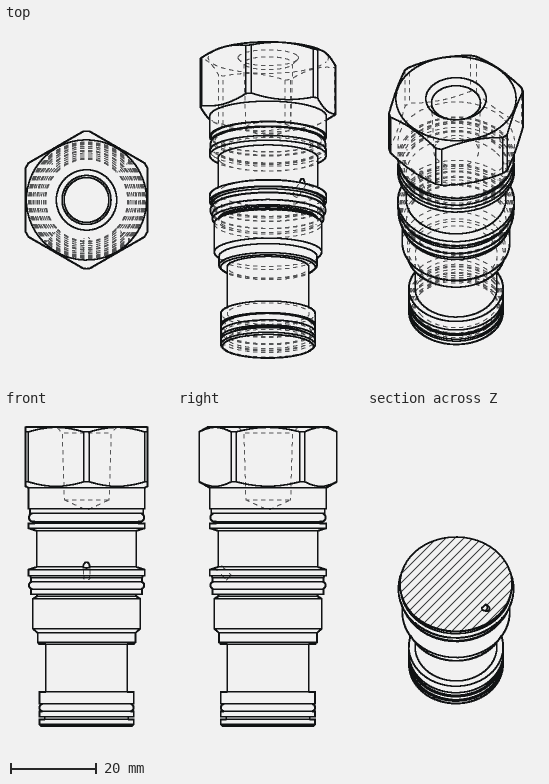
import cadquery as cq
import math

TOTAL_HEIGHT = 69.95
HEX_BOTTOM = 55.7
SPLIT_LEVEL = 19.2

HEX_SIDES = 6
HEX_FLATS = 28.55
HEX_CORNER_RADIUS = 16.1
HEX_TOP_RADIUS = 14.05
CHAMFER_ANGLE = 30.0

PORT_MOUTH_RADIUS = 7.05
PORT_RADIUS = 5.75
PORT_COUNTERSINK_ANGLE = 45.0
PORT_TAPER = 1 / 16
PORT_END_RADIUS = 5.25
PORT_POINT_ANGLE = 130.0

COLLAR_RADIUS = 13.65
NECK_RADIUS = 11.7
NECK_TOP = 45.6
NECK_BOTTOM = 37.2
NECK_TAPER_HEIGHT = 0.6
SHOULDER_BOTTOM = 50.8
THIN_COLLAR_TOP = 47.35
LOWER_COLLAR_BOTTOM = 35.1

UPPER_BACKUP_RADIUS = 13.3
UPPER_GROOVE_RADIUS = 12.2
UPPER_SEAL_TOP = 49.7
UPPER_SEAL_BOTTOM = 47.8
SEAL_OUTER_RADIUS = 13.5
LOWER_BACKUP_RADIUS = 13.0
BACKUP_TAPER_RADIUS = 13.2
BACKUP_TAPER_BOTTOM = 34.6
LOWER_SEAL_TOP = 33.8
LOWER_SEAL_BOTTOM = 32.05
LOWER_BACKUP_BOTTOM = 30.8

NOSE_GROOVE_RADIUS = 11.6
NOSE_RADIUS = 12.6
NOSE_TAPER_TOP = 30.35
NOSE_TOP = 29.7
NOSE_BOTTOM = 22.8
NOSE_END_RADIUS = 11.5
NOSE_END_TOP = 21.75
NOSE_END_CHAMFER = 0.4

SLANT_HOLE_RADIUS = 0.8
SLANT_HOLE_DEPTH = 3.5
SLANT_HOLE_ANGLE = 45.0

STEM_RADIUS = 9.6
FOOT_RADIUS = 11.05
FOOT_TOP = 8.0
FOOT_SEAL_TOP = 5.2
FOOT_SEAL_BOTTOM = 3.4
FOOT_GROOVE_RADIUS = 9.8
FOOT_GROOVE_TOP = 2.2
FOOT_GROOVE_BOTTOM = 1.55
FOOT_CHAMFER = 0.4


def add_seal(profile, outer_radius, top, bottom):
    """Draw a half-round O-ring bulge down the profile, ending at its bottom level."""
    section_radius = (top - bottom) / 2
    core_radius = outer_radius - section_radius
    middle = (top + bottom) / 2
    return (
        profile.lineTo(core_radius, top)
        .threePointArc((outer_radius, middle), (core_radius, bottom))
    )


def revolve_profile(profile):
    """Close a profile of (radius, height) and turn it about Z."""
    return profile.close().revolve(360, (0, 0, 0), (0, 1, 0))


def make_head():
    """Hexagon with turned corners and conical chamfers at both ends."""
    slope = math.tan(math.radians(CHAMFER_ANGLE))
    top_drop = (HEX_CORNER_RADIUS - HEX_TOP_RADIUS) * slope
    bottom_rise = (HEX_CORNER_RADIUS - COLLAR_RADIUS) * slope
    turned_blank = revolve_profile(
        cq.Workplane("XZ")
        .moveTo(0, TOTAL_HEIGHT)
        .lineTo(HEX_TOP_RADIUS, TOTAL_HEIGHT)
        .lineTo(HEX_CORNER_RADIUS, TOTAL_HEIGHT - top_drop)
        .lineTo(HEX_CORNER_RADIUS, HEX_BOTTOM + bottom_rise)
        .lineTo(COLLAR_RADIUS, HEX_BOTTOM)
        .lineTo(0, HEX_BOTTOM)
    )
    corner_to_corner = HEX_FLATS / math.cos(math.pi / HEX_SIDES)
    hexagon = (
        cq.Workplane("XY", origin=(0, 0, HEX_BOTTOM))
        .transformed(rotate=(0, 0, 90))
        .polygon(HEX_SIDES, corner_to_corner)
        .extrude(TOTAL_HEIGHT - HEX_BOTTOM)
    )
    return hexagon.intersect(turned_blank)


def make_barrel():
    """Turned part of the housing below the head, with its seals."""
    profile = (
        cq.Workplane("XZ")
        .moveTo(0, HEX_BOTTOM)
        .lineTo(COLLAR_RADIUS, HEX_BOTTOM)
        .lineTo(COLLAR_RADIUS, SHOULDER_BOTTOM)
        .lineTo(UPPER_BACKUP_RADIUS, SHOULDER_BOTTOM)
        .lineTo(UPPER_BACKUP_RADIUS, UPPER_SEAL_TOP)
    )
    profile = add_seal(profile, SEAL_OUTER_RADIUS, UPPER_SEAL_TOP, UPPER_SEAL_BOTTOM)
    profile = (
        profile.lineTo(UPPER_GROOVE_RADIUS, UPPER_SEAL_BOTTOM)
        .lineTo(UPPER_GROOVE_RADIUS, THIN_COLLAR_TOP)
        .lineTo(COLLAR_RADIUS, THIN_COLLAR_TOP)
        .lineTo(COLLAR_RADIUS, NECK_TOP + NECK_TAPER_HEIGHT)
        .lineTo(NECK_RADIUS, NECK_TOP)
        .lineTo(NECK_RADIUS, NECK_BOTTOM)
        .lineTo(COLLAR_RADIUS, NECK_BOTTOM - NECK_TAPER_HEIGHT)
        .lineTo(COLLAR_RADIUS, LOWER_COLLAR_BOTTOM)
        .lineTo(BACKUP_TAPER_RADIUS, LOWER_COLLAR_BOTTOM)
        .lineTo(LOWER_BACKUP_RADIUS, BACKUP_TAPER_BOTTOM)
        .lineTo(LOWER_BACKUP_RADIUS, LOWER_SEAL_TOP)
    )
    profile = add_seal(profile, SEAL_OUTER_RADIUS, LOWER_SEAL_TOP, LOWER_SEAL_BOTTOM)
    profile = (
        profile.lineTo(LOWER_BACKUP_RADIUS, LOWER_SEAL_BOTTOM)
        .lineTo(LOWER_BACKUP_RADIUS, LOWER_BACKUP_BOTTOM)
        .lineTo(NOSE_GROOVE_RADIUS, LOWER_BACKUP_BOTTOM)
        .lineTo(NOSE_GROOVE_RADIUS, NOSE_TAPER_TOP)
        .lineTo(NOSE_RADIUS, NOSE_TOP)
        .lineTo(NOSE_RADIUS, NOSE_BOTTOM)
        .lineTo(NOSE_END_RADIUS, NOSE_END_TOP)
        .lineTo(NOSE_END_RADIUS, SPLIT_LEVEL + NOSE_END_CHAMFER)
        .lineTo(NOSE_END_RADIUS - NOSE_END_CHAMFER, SPLIT_LEVEL)
        .lineTo(0, SPLIT_LEVEL)
    )
    return revolve_profile(profile)


def make_port():
    """Cutter for the countersunk, tapered blind port in the head."""
    countersink_depth = (PORT_MOUTH_RADIUS - PORT_RADIUS) / math.tan(math.radians(PORT_COUNTERSINK_ANGLE))
    taper_depth = 2 * (PORT_RADIUS - PORT_END_RADIUS) / PORT_TAPER
    point_depth = PORT_END_RADIUS / math.tan(math.radians(PORT_POINT_ANGLE / 2))
    taper_top = TOTAL_HEIGHT - countersink_depth
    taper_bottom = taper_top - taper_depth
    return revolve_profile(
        cq.Workplane("XZ")
        .moveTo(0, TOTAL_HEIGHT)
        .lineTo(PORT_MOUTH_RADIUS, TOTAL_HEIGHT)
        .lineTo(PORT_RADIUS, taper_top)
        .lineTo(PORT_END_RADIUS, taper_bottom)
        .lineTo(0, taper_bottom - point_depth)
    )


def make_slant_hole():
    """Cutter for the hole that descends inward from the foot of the neck, on the -Y side."""
    angle = math.radians(SLANT_HOLE_ANGLE)
    inward = cq.Vector(0, math.cos(angle), -math.sin(angle))
    neck_foot = cq.Vector(0, -NECK_RADIUS, NECK_BOTTOM)
    start = neck_foot - inward * SLANT_HOLE_DEPTH
    cutter = cq.Solid.makeCylinder(SLANT_HOLE_RADIUS, 2 * SLANT_HOLE_DEPTH, start, inward)
    return cq.Workplane(cutter)


def make_housing():
    """Hexagon head and barrel, with the port and the slanted hole."""
    blank = make_head().union(make_barrel())
    return blank.cut(make_port()).cut(make_slant_hole())


def make_sleeve():
    """Plain stem with a grooved, sealed foot."""
    profile = (
        cq.Workplane("XZ")
        .moveTo(0, SPLIT_LEVEL)
        .lineTo(STEM_RADIUS, SPLIT_LEVEL)
        .lineTo(STEM_RADIUS, FOOT_TOP)
        .lineTo(FOOT_RADIUS, FOOT_TOP)
        .lineTo(FOOT_RADIUS, FOOT_SEAL_TOP)
    )
    profile = add_seal(profile, FOOT_RADIUS, FOOT_SEAL_TOP, FOOT_SEAL_BOTTOM)
    profile = (
        profile.lineTo(FOOT_RADIUS, FOOT_SEAL_BOTTOM)
        .lineTo(FOOT_RADIUS, FOOT_GROOVE_TOP)
        .lineTo(FOOT_GROOVE_RADIUS, FOOT_GROOVE_TOP)
        .lineTo(FOOT_GROOVE_RADIUS, FOOT_GROOVE_BOTTOM)
        .lineTo(FOOT_RADIUS, FOOT_GROOVE_BOTTOM)
        .lineTo(FOOT_RADIUS, FOOT_CHAMFER)
        .lineTo(FOOT_RADIUS - FOOT_CHAMFER, 0)
        .lineTo(0, 0)
    )
    return revolve_profile(profile)


housing = make_housing()
sleeve = make_sleeve()
result = cq.Compound.makeCompound([housing.val(), sleeve.val()])